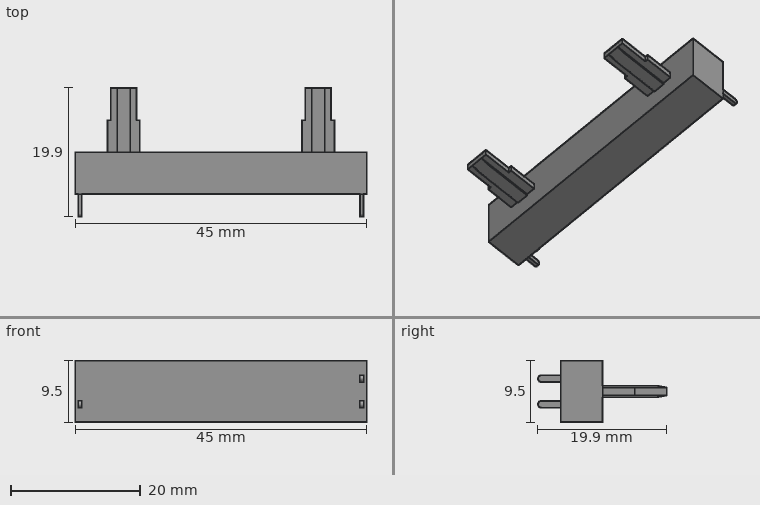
import cadquery as cq

body_length = 45.0
body_depth = 6.5
body_height = 9.5

lever_spacing = 30.0
lever_length = 9.9
lever_base_width = 5.05
lever_tip_width = 4.0
lever_base_length = lever_length / 2
lever_thickness = 1.2
rib_width = 2.02
rib_thickness = 1.8
rib_ramp_length = 1.5

pin_length = 3.5
pin_width = 0.6
pin_height = 1.1
pin_spacing_x = 43.45
pin_spacing_z = 3.95


def make_body():
    return cq.Workplane("XY").box(body_length, body_depth, body_height).translate((0, -body_depth / 2, 0))


def make_blade_section(width, length):
    """Flat bar from the back face, centred on X and Z."""
    return cq.Workplane("XY").box(width, length, lever_thickness).translate((0, length / 2, 0))


def make_rib():
    """Raised strip on both faces of the blade, tapering flush with it at the tip."""
    ramp_start = lever_length - rib_ramp_length
    return (
        cq.Workplane("YZ")
        .moveTo(0, -rib_thickness / 2)
        .lineTo(ramp_start, -rib_thickness / 2)
        .lineTo(lever_length, -lever_thickness / 2)
        .lineTo(lever_length, lever_thickness / 2)
        .lineTo(ramp_start, rib_thickness / 2)
        .lineTo(0, rib_thickness / 2)
        .close()
        .extrude(rib_width / 2, both=True)
    )


def make_lever():
    base = make_blade_section(lever_base_width, lever_base_length)
    tip = make_blade_section(lever_tip_width, lever_length)
    return base.union(tip).union(make_rib())


def make_pin():
    """Flat pin pointing toward -Y with a fully rounded end."""
    shoulder = -(pin_length - pin_height / 2)
    return (
        cq.Workplane("YZ")
        .moveTo(0, -pin_height / 2)
        .lineTo(shoulder, -pin_height / 2)
        .threePointArc((-pin_length, 0), (shoulder, pin_height / 2))
        .lineTo(0, pin_height / 2)
        .close()
        .extrude(pin_width / 2, both=True)
    )


result = make_body()

for side in (-1, 1):
    result = result.union(make_lever().translate((side * lever_spacing / 2, 0, 0)))

for side_x, side_z in ((-1, -1), (1, -1), (1, 1)):
    pin_position = (side_x * pin_spacing_x / 2, -body_depth, side_z * pin_spacing_z / 2)
    result = result.union(make_pin().translate(pin_position))